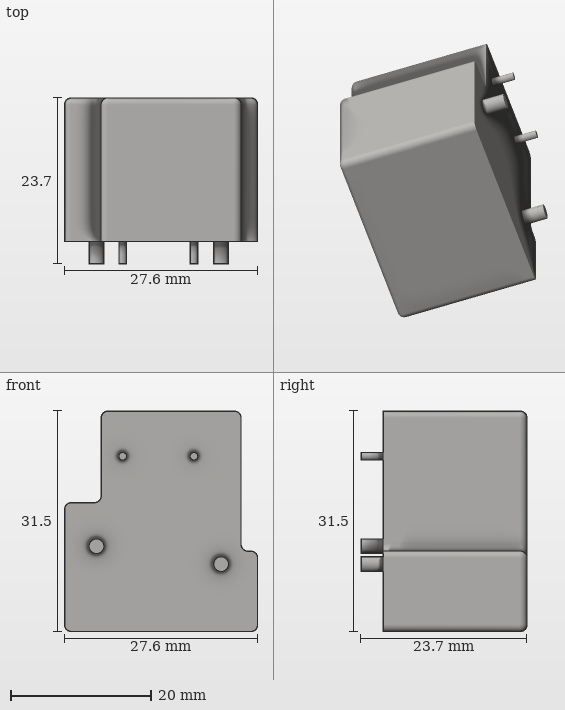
import cadquery as cq

body_width = 27.6
body_height = 31.5
body_depth = 20.55
tower_left = 5.23
tower_right = 25.23
left_shoulder_height = 18.43
right_shoulder_height = 11.5
edge_radius = 0.98

pin_length = 3.15
small_pin_diameter = 1.1
large_pin_diameter = 2.1
small_pin_height = 25.05
small_pin_centers = [(8.32, small_pin_height), (18.5, small_pin_height)]
large_pin_centers = [(4.57, 12.2), (22.35, 9.65)]


def make_body():
    """Stepped block with rounded corners and a rounded rear rim."""
    outline = [
        (0, 0),
        (body_width, 0),
        (body_width, right_shoulder_height),
        (tower_right, right_shoulder_height),
        (tower_right, body_height),
        (tower_left, body_height),
        (tower_left, left_shoulder_height),
        (0, left_shoulder_height),
    ]
    block = cq.Workplane("XZ").polyline(outline).close().extrude(-body_depth)
    rounded = block.edges("|Y").fillet(edge_radius)
    return rounded.faces(">Y").edges().fillet(edge_radius)


def make_pins(centers, diameter):
    """Round pins starting at the pin face."""
    return cq.Workplane("XZ").pushPoints(centers).circle(diameter / 2).extrude(pin_length)


small_pins = make_pins(small_pin_centers, small_pin_diameter)
large_pins = make_pins(large_pin_centers, large_pin_diameter)
result = make_body().union(small_pins).union(large_pins)